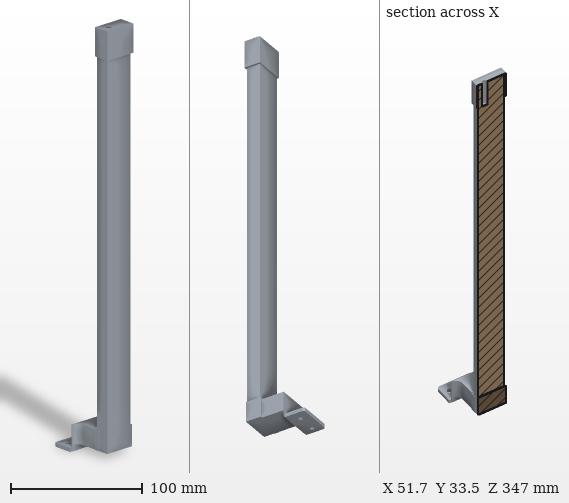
import cadquery as cq

total_height = 347.0
bar_left, bar_right = 39.0, 50.3
bar_front, bar_back = 8.0, 32.0
bar_bottom = 23.0
bar_hole_x, bar_hole_y = 44.8, 14.2
bar_hole_diameter = 4.5

sleeve_left, sleeve_right = 37.8, 51.7
sleeve_front, sleeve_back = 7.0, 33.5
sleeve_height = 23.5

block_left = 36.8
block_bottom = 5.2
lip_right = 41.5
lip_projection = 0.5

arm_left = 17.5
arm_top = 22.0
web_thickness = 0.5
web_front = 1.7
flare_radius = bar_front - web_front
foot_thickness = 3.0
foot_back = 30.2
foot_corner_radius = 2.0
foot_hole_x = 8.5
foot_hole_places = (6.0, 22.2)
foot_hole_diameter = 3.8


def box_between(x_range, y_range, z_range):
    """Box filling the given lower and upper limits along each axis."""
    sizes = [high - low for low, high in (x_range, y_range, z_range)]
    corner = (x_range[0], y_range[0], z_range[0])
    return cq.Workplane("XY").box(*sizes, centered=False).translate(corner)


def make_bar():
    bar = box_between((bar_left, bar_right), (bar_front, bar_back), (bar_bottom, total_height))
    hole = (
        cq.Workplane("XY", origin=(bar_hole_x, bar_hole_y, total_height))
        .circle(bar_hole_diameter / 2)
        .extrude(-sleeve_height)
    )
    return bar.cut(hole)


def make_sleeve():
    z_range = (total_height - sleeve_height, total_height)
    outside = box_between((sleeve_left, sleeve_right), (sleeve_front, sleeve_back), z_range)
    opening = box_between((bar_left, bar_right), (bar_front, bar_back), z_range)
    return outside.cut(opening)


def make_end_block():
    block = box_between((block_left, bar_right), (bar_front, sleeve_back), (block_bottom, bar_bottom))
    lip = box_between(
        (block_left, lip_right), (bar_front - lip_projection, bar_front), (block_bottom, arm_top)
    )
    return block.union(lip)


def make_bracket():
    web_right = arm_left + web_thickness
    flare_end = web_right + flare_radius
    flare_middle_offset = flare_radius * (1 - 0.5**0.5)
    arm = (
        cq.Workplane("XY", origin=(0, 0, block_bottom))
        .moveTo(arm_left, bar_back)
        .lineTo(block_left, bar_back)
        .lineTo(block_left, bar_front)
        .lineTo(flare_end, bar_front)
        .threePointArc(
            (web_right + flare_middle_offset, bar_front - flare_middle_offset), (web_right, web_front)
        )
        .lineTo(arm_left, web_front)
        .close()
        .extrude(arm_top - block_bottom)
    )

    web = box_between((arm_left, web_right), (web_front, bar_back), (0, arm_top))

    foot = box_between((0, arm_left), (0, foot_back), (0, foot_thickness))
    foot = foot.edges("|Z and <X").fillet(foot_corner_radius)
    holes = (
        cq.Workplane("XY")
        .pushPoints([(foot_hole_x, y) for y in foot_hole_places])
        .circle(foot_hole_diameter / 2)
        .extrude(foot_thickness)
    )
    return arm.union(web).union(foot.cut(holes))


bar = make_bar()
sleeve = make_sleeve()
end_block = make_end_block()
bracket = make_bracket()

result = cq.Compound.makeCompound([bar.val(), sleeve.val(), end_block.val(), bracket.val()])